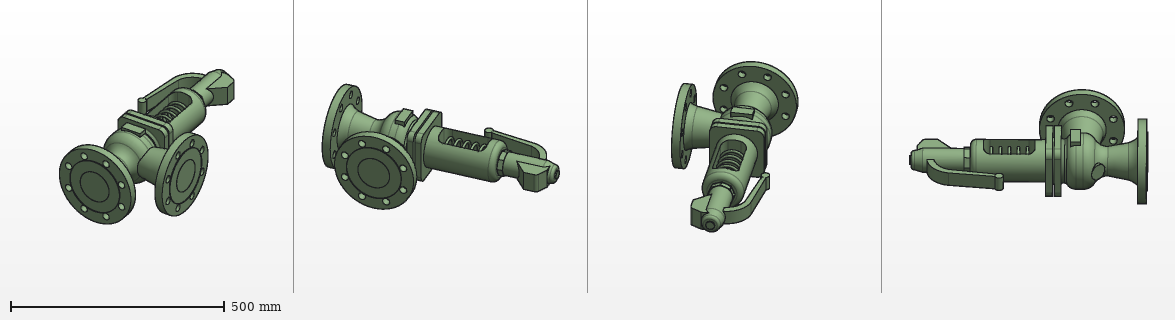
import cadquery as cq
import math

TOTAL_LENGTH = 558.5
PORT_REACH = 155.0

FLANGE_RADIUS = 100.0
FLANGE_DEPTH = 23.0
RAISED_FACE_RADIUS = 69.0
RAISED_FACE_HEIGHT = 2.0
PORT_RADIUS = 40.0
PORT_RECESS = 0.5
BOLT_COUNT = 8
BOLT_CIRCLE_RADIUS = 80.0
BOLT_HOLE_RADIUS = 9.0
NECK_ROOT_RADIUS = 57.0
FLARE_BULGE = 1.0

INLET_FLARE = (44.0, 44.5)
INLET_THROAT = (34.5, 93.0)
OUTLET_FLARE = (49.5, 41.5)
OUTLET_THROAT = (35.0, 127.5)

BODY_RADIUS = 66.5
BODY_BAND_BOTTOM = 151.0
BODY_BAND_TOP = 167.5
BODY_LOWER_ROUND = 32.0
SHOULDER_RADIUS = 54.0
SHOULDER_Y = 189.5
BODY_UPPER_ROUND = 24.5
COLLAR_RADIUS = 52.0
COLLAR_BOTTOM = 194.5
COLLAR_FILLET = 4.5

JOINT_SIDE = 130.0
JOINT_CORNER = 17.5
JOINT_PLATE = 16.0
JOINT_GAP = 4.0
JOINT_BOTTOM = 203.0
GASKET_RADIUS = 55.5
JOINT_TOP = JOINT_BOTTOM + 2 * JOINT_PLATE + JOINT_GAP

BOSS_RADIUS = 20.0
BOSS_FACE_CENTER = (-47.0, 115.0)
BOSS_ANGLE = 38.7
BOSS_DEPTH = 50.0

NAME_PLATE_LENGTH = 52.5
NAME_PLATE_WIDTH = 24.0
NAME_PLATE_Y = 169.0
NAME_PLATE_TOP = 71.0
NAME_PLATE_DEPTH = 22.5

BONNET_RADIUS = FLANGE_RADIUS / 2
BONNET_TOP = 416.0
BONNET_ROUND = 14.0
WINDOW_WIDTH = 62.0
WINDOW_BOTTOM = 264.0
WINDOW_TOP = 385.0
WINDOW_CORNER = 15.0
COIL_COUNT = 5
COIL_PITCH = 21.0
COIL_RADIUS = 30.0
WIRE_RADIUS = 3.5

NUT_RADIUS = 32.0
NUT_SIDES = 8
NUT_BOTTOM = 416.5
NUT_TOP = 430.5
CAP_RADIUS = 28.5
CAP_CONE_BOTTOM = 528.0
CAP_CONE_TOP = 547.5
CAP_CONE_RADIUS = 23.0
CAP_TOP_RADIUS = 17.0
CAP_TOP = 555.0
TIP_RADIUS = 10.5

LEVER_WIDTH = 35.0
LEVER_KNOB_CENTER = (-90.5, 348.0)
LEVER_KNOB_RADIUS = 10.0
LEVER_ROOT_X = -19.5
LEVER_BEND_START_X = -24.0
LEVER_ROOT_TOP = 518.0
LEVER_ROOT_BOTTOM = 501.0
LEVER_OUTER_BEND = ((-62.0, 501.0), (-80.0, 467.0))
LEVER_INNER_BEND = ((-49.0, 490.0), (-65.5, 465.0))
LEVER_OUTER_END = (-94.0, 357.5)
LEVER_INNER_END = (-83.0, 357.5)
BRACKET_WIDTH = 48.0
BRACKET_BOTTOM = 460.0
BRACKET_TOP = 541.0
BRACKET_FACE_X = 53.5
BRACKET_FACE_BOTTOM = 493.5
BRACKET_FACE_TOP = 520.0
BRACKET_TOP_END_X = 24.5
BRACKET_FOOT_X = 14.5
BRACKET_NOSE_START = (48.0, 529.5)
BRACKET_NOSE_MIDDLE = (52.0, 525.5)


def round_about_spindle(outline):
    """Revolve a closed half outline in the XY plane about the Y axis."""
    return outline.close().revolve(360, (0, 0), (0, 1))


def cylinder(radius, bottom, top):
    """Cylinder on the spindle axis between two Y positions."""
    return cq.Workplane("XZ", origin=(0, bottom, 0)).circle(radius).extrude(bottom - top)


def plate_z(outline, width):
    """Extrude a closed XY outline symmetrically about Z = 0."""
    return outline.close().extrude(width / 2, both=True)


def flanged_neck(flare, throat):
    """Pipe flange at Y = 0 with a flared, tapering neck toward +Y."""
    flare_middle = (
        (NECK_ROOT_RADIUS + flare[0]) / 2 - FLARE_BULGE,
        (FLANGE_DEPTH + flare[1]) / 2 - FLARE_BULGE,
    )
    neck = round_about_spindle(
        cq.Workplane("XY")
        .moveTo(0, PORT_RECESS)
        .lineTo(PORT_RADIUS, PORT_RECESS)
        .lineTo(PORT_RADIUS, 0)
        .lineTo(RAISED_FACE_RADIUS, 0)
        .lineTo(RAISED_FACE_RADIUS, RAISED_FACE_HEIGHT)
        .lineTo(FLANGE_RADIUS, RAISED_FACE_HEIGHT)
        .lineTo(FLANGE_RADIUS, FLANGE_DEPTH)
        .lineTo(NECK_ROOT_RADIUS, FLANGE_DEPTH)
        .threePointArc(flare_middle, flare)
        .lineTo(*throat)
        .lineTo(0, throat[1])
    )
    bolt_holes = (
        cq.Workplane("XZ")
        .polarArray(BOLT_CIRCLE_RADIUS, 180 / BOLT_COUNT, 360, BOLT_COUNT)
        .circle(BOLT_HOLE_RADIUS)
        .extrude(-FLANGE_DEPTH)
    )
    return neck.cut(bolt_holes)


def body():
    """Bulb blending down into the inlet throat and up into the collar."""
    throat_radius, throat_y = INLET_THROAT
    drop = BODY_BAND_BOTTOM - throat_y
    step = BODY_RADIUS - throat_radius
    radius_sum = (drop**2 + step**2) / (2 * step)
    throat_round = radius_sum - BODY_LOWER_ROUND
    share = BODY_LOWER_ROUND / radius_sum
    blend = (BODY_RADIUS - step * share, BODY_BAND_BOTTOM - drop * share)
    return round_about_spindle(
        cq.Workplane("XY")
        .moveTo(0, throat_y)
        .lineTo(throat_radius, throat_y)
        .radiusArc(blend, throat_round)
        .radiusArc((BODY_RADIUS, BODY_BAND_BOTTOM), -BODY_LOWER_ROUND)
        .lineTo(BODY_RADIUS, BODY_BAND_TOP)
        .radiusArc((SHOULDER_RADIUS, SHOULDER_Y), -BODY_UPPER_ROUND)
        .lineTo(COLLAR_RADIUS, COLLAR_BOTTOM)
        .lineTo(COLLAR_RADIUS, JOINT_BOTTOM - COLLAR_FILLET)
        .radiusArc((COLLAR_RADIUS + COLLAR_FILLET, JOINT_BOTTOM), COLLAR_FILLET)
        .lineTo(0, JOINT_BOTTOM)
    )


def joint():
    """Two square plates with a round gasket between them."""
    plates = cylinder(GASKET_RADIUS, JOINT_BOTTOM, JOINT_TOP)
    for bottom in (JOINT_BOTTOM, JOINT_TOP - JOINT_PLATE):
        plate = (
            cq.Workplane("XZ", origin=(0, bottom, 0))
            .rect(JOINT_SIDE, JOINT_SIDE)
            .extrude(-JOINT_PLATE)
            .edges("|Y")
            .fillet(JOINT_CORNER)
        )
        plates = plates.union(plate)
    return plates


def boss():
    """Tilted round boss with a flat blind face."""
    angle = math.radians(BOSS_ANGLE)
    face = cq.Plane(
        origin=(*BOSS_FACE_CENTER, 0),
        xDir=(0, 0, 1),
        normal=(-math.cos(angle), -math.sin(angle), 0),
    )
    return cq.Workplane(face).circle(BOSS_RADIUS).extrude(-BOSS_DEPTH)


def name_plate():
    return (
        cq.Workplane("XY", origin=(0, NAME_PLATE_Y, NAME_PLATE_TOP))
        .rect(NAME_PLATE_LENGTH, NAME_PLATE_WIDTH)
        .extrude(-NAME_PLATE_DEPTH)
    )


def bonnet():
    """Round bonnet with a window right through along Z, crossed by the spring coils."""
    window_middle = (WINDOW_BOTTOM + WINDOW_TOP) / 2
    window = (
        cq.Workplane("XY", origin=(0, window_middle, 0))
        .rect(WINDOW_WIDTH, WINDOW_TOP - WINDOW_BOTTOM)
        .extrude(BONNET_RADIUS, both=True)
        .edges("|Z")
        .fillet(WINDOW_CORNER)
    )
    shell = cylinder(BONNET_RADIUS, JOINT_TOP, BONNET_TOP).faces(">Y").edges().fillet(BONNET_ROUND)
    shell = shell.cut(window)
    for index in range(COIL_COUNT):
        coil_y = window_middle + (index - (COIL_COUNT - 1) / 2) * COIL_PITCH
        coil = (
            cq.Workplane("XY")
            .center(COIL_RADIUS, coil_y)
            .circle(WIRE_RADIUS)
            .revolve(360, (-COIL_RADIUS, 0), (-COIL_RADIUS, 1))
        )
        shell = shell.union(coil)
    return shell


def cap():
    """Spindle cap with a tapered, rounded end, standing on an eight-sided lock nut."""
    nut = (
        cq.Workplane("XZ", origin=(0, NUT_BOTTOM, 0))
        .polygon(NUT_SIDES, 2 * NUT_RADIUS)
        .extrude(NUT_BOTTOM - NUT_TOP)
    )
    barrel = round_about_spindle(
        cq.Workplane("XY")
        .moveTo(0, BONNET_TOP)
        .lineTo(CAP_RADIUS, BONNET_TOP)
        .lineTo(CAP_RADIUS, CAP_CONE_BOTTOM)
        .lineTo(CAP_CONE_RADIUS, CAP_CONE_TOP)
        .radiusArc((CAP_TOP_RADIUS, CAP_TOP), -(CAP_TOP - CAP_CONE_TOP))
        .lineTo(TIP_RADIUS, CAP_TOP)
        .lineTo(TIP_RADIUS, TOTAL_LENGTH)
        .lineTo(0, TOTAL_LENGTH)
    )
    return nut.union(barrel)


def lever():
    """Curved lifting lever with a cylindrical knob at its free end."""
    arm = plate_z(
        cq.Workplane("XY")
        .moveTo(LEVER_ROOT_X, LEVER_ROOT_TOP)
        .lineTo(LEVER_BEND_START_X, LEVER_ROOT_TOP)
        .threePointArc(*LEVER_OUTER_BEND)
        .lineTo(*LEVER_OUTER_END)
        .lineTo(*LEVER_INNER_END)
        .lineTo(*LEVER_INNER_BEND[1])
        .threePointArc(LEVER_INNER_BEND[0], (LEVER_BEND_START_X, LEVER_ROOT_BOTTOM))
        .lineTo(LEVER_ROOT_X, LEVER_ROOT_BOTTOM),
        LEVER_WIDTH,
    )
    knob = (
        cq.Workplane("XY")
        .center(*LEVER_KNOB_CENTER)
        .circle(LEVER_KNOB_RADIUS)
        .extrude(LEVER_WIDTH / 2, both=True)
    )
    return arm.union(knob)


def bracket():
    """Solid pivot bracket on the side of the cap opposite the lever."""
    return plate_z(
        cq.Workplane("XY")
        .moveTo(0, BRACKET_TOP)
        .lineTo(BRACKET_TOP_END_X, BRACKET_TOP)
        .lineTo(*BRACKET_NOSE_START)
        .threePointArc(BRACKET_NOSE_MIDDLE, (BRACKET_FACE_X, BRACKET_FACE_TOP))
        .lineTo(BRACKET_FACE_X, BRACKET_FACE_BOTTOM)
        .lineTo(BRACKET_FOOT_X, BRACKET_BOTTOM)
        .lineTo(0, BRACKET_BOTTOM),
        BRACKET_WIDTH,
    )


inlet = flanged_neck(INLET_FLARE, INLET_THROAT)
outlet = (
    flanged_neck(OUTLET_FLARE, OUTLET_THROAT)
    .rotate((0, 0, 0), (0, 0, 1), 90)
    .translate((PORT_REACH, PORT_REACH, 0))
)

result = (
    inlet.union(body())
    .union(outlet)
    .union(boss())
    .union(name_plate())
    .union(joint())
    .union(bonnet())
    .union(cap())
    .union(bracket())
    .union(lever())
)